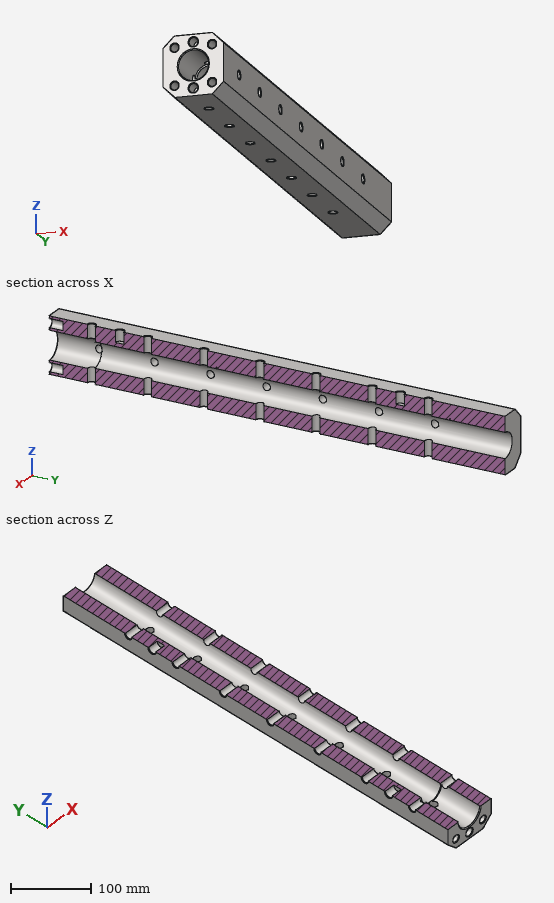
import cadquery as cq
import math

length = 651.0
width = 80.0
corner_bevel = 15.0
half_width = width / 2
half_length = length / 2
front_y = -half_length

bore_diameter = 35.0
mouth_diameter = 40.0
mouth_depth = 65.0
mouth_chamfer = 1.0

screw_diameter = 10.5
dowel_diameter = 12.0

hole_chamfer = 1.0

end_screw_offset = 25.0
end_screw_depth = 25.0
end_dowel_offset = 30.0
end_dowel_depth = 19.5
drill_point_angle = 118
drill_point_height = screw_diameter / 2 / math.tan(math.radians(drill_point_angle / 2))

first_screw_from_front = 60.5
screw_pitch = width
screw_count = 7
side_dowel_depth = 16.0

first_screw_y = front_y + first_screw_from_front
screw_ys = [first_screw_y + i * screw_pitch for i in range(screw_count)]
dowel_ys = [first_screw_y + screw_pitch / 2, screw_ys[-1] - screw_pitch / 2]


def hole(diameter, depth, start, direction, chamfer_size=hole_chamfer):
    """Return a cutter with a chamfered mouth at the start point, running along the direction."""
    origin = cq.Vector(*start)
    axis = cq.Vector(*direction)
    radius = diameter / 2
    shaft = cq.Solid.makeCylinder(radius, depth, origin, axis)
    chamfer = cq.Solid.makeCone(radius + chamfer_size, radius, chamfer_size, origin, axis)
    return cq.Workplane(shaft).union(cq.Workplane(chamfer))


def end_hole(diameter, depth, x=0.0, z=0.0, chamfer_size=hole_chamfer):
    """Return a hole cutter entering the front end along +Y."""
    return hole(diameter, depth, (x, front_y, z), (0, 1, 0), chamfer_size)


def end_screw_hole(x, z):
    """Return a blind end-screw cutter with a conical drill point."""
    point_base = cq.Vector(x, front_y + end_screw_depth, z)
    point = cq.Solid.makeCone(screw_diameter / 2, 0, drill_point_height, point_base, cq.Vector(0, 1, 0))
    return end_hole(screw_diameter, end_screw_depth, x, z).union(cq.Workplane(point))


def cut_bore(body):
    bore = cq.Workplane("XZ").circle(bore_diameter / 2).extrude(half_length, both=True)
    mouth = end_hole(mouth_diameter, mouth_depth, chamfer_size=mouth_chamfer)
    return body.cut(bore).cut(mouth)


def cut_end_holes(body):
    for side in (-1, 1):
        for level in (-1, 1):
            body = body.cut(end_screw_hole(side * end_screw_offset, level * end_screw_offset))
        body = body.cut(end_hole(dowel_diameter, end_dowel_depth, z=side * end_dowel_offset))
    return body


def cut_through_screw(body, y, outward):
    """Cut a screw hole across the bar, drilled and chamfered from both opposite faces."""
    for side in (-1, 1):
        start = (side * half_width * outward[0], y, side * half_width * outward[1])
        inward = (-side * outward[0], 0, -side * outward[1])
        body = body.cut(hole(screw_diameter, half_width, start, inward))
    return body


def cut_side_holes(body):
    for outward in ((-1, 0), (0, 1)):
        for y in screw_ys:
            body = cut_through_screw(body, y, outward)
        for y in dowel_ys:
            start = (half_width * outward[0], y, half_width * outward[1])
            body = body.cut(hole(dowel_diameter, side_dowel_depth, start, (-outward[0], 0, -outward[1])))
    return body


bar = cq.Workplane("XY").box(width, length, width).edges("|Y").chamfer(corner_bevel)
result = cut_side_holes(cut_end_holes(cut_bore(bar)))